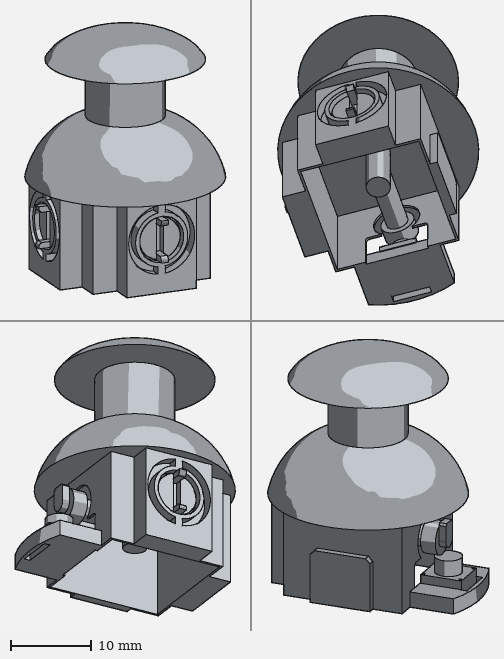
import cadquery as cq
import math

overall_height = 31.02
box_height = 12.0

skirt_radius = 12.5
neck_radius = 5.0
skirt_top = 20.0
skirt_bulge_radius = 9.6
skirt_bulge_height = 17.25

crown_radius = 10.0
crown_bottom = 27.3
crown_shoulder_radius = 7.45
crown_shoulder_height = 29.5
crown_edge_run = 0.6
crown_edge_rise = 1.0

box_size = 16.0
wall = 0.3

opening_diameter = 6.0
opening_slot_width = 8.05
opening_slot_top = 5.27
opening_slot_fillet = 0.5

pot_width = 9.45
pot_face = 11.0
pot_axis_height = 7.0
web = 1.0
ring_outer_diameter = 9.0
ring_inner_diameter = 7.1
ring_depth = 1.43
bore_diameter = 6.0
bore_depth = 1.0
rotor_diameter = 5.5
rotor_recess = 0.53
slot_depth = 1.55
tab_thickness = 0.78
tab_reach = 1.0
tab_nose_length = 0.4
tab_nose_height = 0.55
tab_nose_radius = 0.6

bracket_radius = 15.0
bracket_width = 11.17
bracket_thickness = 2.05
bracket_slot_width = 4.93
bracket_slot_front = 14.4

switch_length = 5.5
switch_width = 4.75
switch_center = -10.85
switch_top = 3.2
button_diameter = 3.5
button_top = 5.27
rivet_diameter = 0.3
rivet_height = 0.1
rivet_inset = 0.28

shaft_diameter = 3.0
shaft_bottom = 4.0
arm_diameter = 2.8
arm_height = 7.5
head_diameter = 4.3
head_face = -10.0
blade_tip = -10.95
blade_width = 2.1
blade_top = 9.85
blade_chamfer = 0.28

lug_width = 8.05
lug_height = 7.0
lug_depth = 0.93
lug_chamfer = 0.6

half_box = box_size / 2


def block(x_min, x_max, y_min, y_max, z_min, z_max):
    """Box between two opposite corners."""
    size = (x_max - x_min, y_max - y_min, z_max - z_min)
    return cq.Workplane("XY").box(*size, centered=False).translate((x_min, y_min, z_min))


def rod_z(diameter, x, y, z_min, z_max):
    """Upright cylinder."""
    return cq.Workplane("XY", origin=(x, y, z_min)).circle(diameter / 2).extrude(z_max - z_min)


def rod_x(diameter, x_min, x_max, z):
    """Cylinder along X, in the plane Y = 0."""
    return cq.Workplane("YZ", origin=(x_min, 0, z)).circle(diameter / 2).extrude(x_max - x_min)


def make_cap():
    """Mushroom crown, neck and domed skirt, turned about the Z axis."""
    return (
        cq.Workplane("XZ")
        .moveTo(0, box_height)
        .lineTo(skirt_radius, box_height)
        .threePointArc((skirt_bulge_radius, skirt_bulge_height), (neck_radius, skirt_top))
        .lineTo(neck_radius, crown_bottom)
        .lineTo(crown_radius, crown_bottom)
        .spline(
            [(crown_shoulder_radius, crown_shoulder_height), (0, overall_height)],
            tangents=[(-crown_edge_run, crown_edge_rise), (-1, 0)],
            includeCurrent=True,
        )
        .close()
        .revolve(360, (0, 0, 0), (0, 1, 0))
    )


def make_box():
    """Thin box, open below, with the round-and-slot opening in its -X side."""
    inner = half_box - wall
    shell = block(-half_box, half_box, -half_box, half_box, 0, box_height)
    shell = shell.cut(block(-inner, inner, -inner, inner, 0, box_height - wall))

    round_opening = rod_x(opening_diameter, -half_box, -inner, arm_height)
    half_slot = opening_slot_width / 2
    slot = block(-half_box, -inner, -half_slot, half_slot, 0, opening_slot_top)
    slot = slot.edges("|X and >Z").fillet(opening_slot_fillet)
    return shell.cut(round_opening).cut(slot)


def pot_cylinder(diameter, depth_front, depth_back):
    """Cylinder on the pot's axis, between two depths below the pot face."""
    plane = cq.Workplane("XZ", origin=(0, depth_back - pot_face, pot_axis_height))
    return plane.circle(diameter / 2).extrude(depth_back - depth_front)


def make_pot():
    """Potentiometer on the -Y side: ring pockets, recessed slotted rotor and two tabs."""
    half_width = pot_width / 2
    pot = block(-half_width, half_width, -pot_face, -half_box, 0, box_height)

    ring = pot_cylinder(ring_outer_diameter, 0, ring_depth)
    ring = ring.cut(pot_cylinder(ring_inner_diameter, 0, ring_depth))
    ring = ring.cut(block(-web / 2, web / 2, -pot_face, -half_box, 0, box_height))
    bore = pot_cylinder(bore_diameter, 0, bore_depth)
    rotor = pot_cylinder(rotor_diameter, rotor_recess, bore_depth)

    half_rotor = rotor_diameter / 2
    slot_reach = half_rotor - tab_thickness
    slot = block(
        -web / 2, web / 2,
        -pot_face, slot_depth - pot_face,
        pot_axis_height - slot_reach, pot_axis_height + slot_reach,
    )
    pot = pot.cut(ring).cut(bore).union(rotor).cut(slot)

    tab_tip = -pot_face - tab_reach
    tab_bottom = pot_axis_height + slot_reach
    tab_top = pot_axis_height + half_rotor
    upper_tab = (
        cq.Workplane("YZ", origin=(-web / 2, 0, 0))
        .moveTo(bore_depth - pot_face, tab_top)
        .lineTo(tab_tip, tab_top)
        .lineTo(tab_tip, tab_bottom + tab_nose_height)
        .radiusArc((tab_tip + tab_nose_length, tab_bottom), -tab_nose_radius)
        .lineTo(bore_depth - pot_face, tab_bottom)
        .close()
        .extrude(web)
    )
    lower_tab = upper_tab.mirror("XY", (0, 0, pot_axis_height))
    return pot.union(upper_tab).union(lower_tab)


def make_bracket():
    """Flat bracket at the foot of the -X side, with an arc front edge and a slot."""
    half_width = bracket_width / 2
    corner_x = -math.sqrt(bracket_radius**2 - half_width**2)
    plate = (
        cq.Workplane("XY")
        .moveTo(-half_box, -half_width)
        .lineTo(corner_x, -half_width)
        .threePointArc((-bracket_radius, 0), (corner_x, half_width))
        .lineTo(-half_box, half_width)
        .close()
        .extrude(bracket_thickness)
    )
    half_slot = bracket_slot_width / 2
    switch_front = switch_center - switch_length / 2
    slot = block(-bracket_slot_front, switch_front, -half_slot, half_slot, 0, bracket_thickness)
    return plate.cut(slot)


def make_switch():
    """Tact switch standing on the bracket: body, round button and four corner rivets."""
    half_length = switch_length / 2
    half_width = switch_width / 2
    switch = block(
        switch_center - half_length, switch_center + half_length,
        -half_width, half_width,
        bracket_thickness, switch_top,
    )
    switch = switch.union(rod_z(button_diameter, switch_center, 0, switch_top, button_top))
    for side_x in (-1, 1):
        for side_y in (-1, 1):
            rivet_x = switch_center + side_x * (half_length - rivet_inset)
            rivet_y = side_y * (half_width - rivet_inset)
            rivet = rod_z(rivet_diameter, rivet_x, rivet_y, switch_top, switch_top + rivet_height)
            switch = switch.union(rivet)
    return switch


def make_shaft():
    """Upright shaft under the box top, with an arm, a round head and a blade."""
    shaft = rod_z(shaft_diameter, 0, 0, shaft_bottom, box_height - wall)
    arm = rod_x(arm_diameter, -half_box, 0, arm_height)
    head = rod_x(head_diameter, head_face, -half_box, arm_height)

    half_blade = blade_width / 2
    blade = block(blade_tip, head_face, -half_blade, half_blade, arm_height, blade_top)
    blade = blade.edges("|X and >Z").chamfer(blade_chamfer)
    blade = blade.union(rod_x(blade_width, blade_tip, head_face, arm_height))
    return shaft.union(arm).union(head).union(blade)


def make_lug():
    """Low lug on the +Y side with chamfered top corners."""
    lug = block(-lug_width / 2, lug_width / 2, half_box, half_box + lug_depth, 0, lug_height)
    return lug.edges("|Y and >Z").chamfer(lug_chamfer)


def make_module():
    """Joystick module: everything below the cap, in one piece."""
    pot = make_pot()
    module = make_box().union(pot)
    module = module.union(pot.rotate((0, 0, 0), (0, 0, 1), 90))
    module = module.union(make_bracket()).union(make_switch())
    return module.union(make_shaft()).union(make_lug())


cap = make_cap()
module = make_module()
result = cq.Compound.makeCompound([cap.val(), *module.solids().vals()])